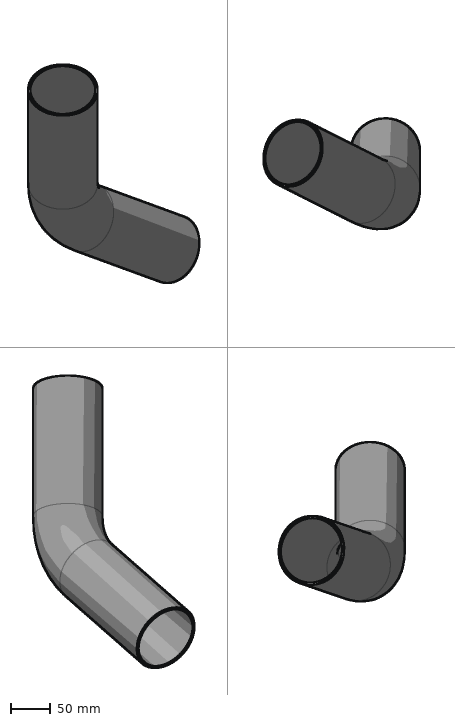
import cadquery as cq
import math

total_height = 415.8
outer_diameter = 89.0
inner_diameter = 82.7
bend_radius = 117.0
bend_angle = 45.0

outer_radius = outer_diameter / 2
bend_sine = math.sin(math.radians(bend_angle))
bend_cosine = math.cos(math.radians(bend_angle))
outer_bend_drop = (bend_radius + outer_radius) * bend_sine
leg_length = (total_height - outer_bend_drop) / (1 + bend_cosine)

bend_end = (bend_radius * (1 - bend_cosine), -bend_radius * bend_sine)
half_sine = math.sin(math.radians(bend_angle / 2))
half_cosine = math.cos(math.radians(bend_angle / 2))
bend_middle = (bend_radius * (1 - half_cosine), -bend_radius * half_sine)
lower_end = (bend_end[0] + leg_length * bend_sine, bend_end[1] - leg_length * bend_cosine)

pipe_axis = (
    cq.Workplane("YZ")
    .moveTo(0, leg_length)
    .lineTo(0, 0)
    .threePointArc(bend_middle, bend_end)
    .lineTo(*lower_end)
)

result = (
    cq.Workplane("XY", origin=(0, 0, leg_length))
    .circle(outer_radius)
    .circle(inner_diameter / 2)
    .sweep(pipe_axis)
)